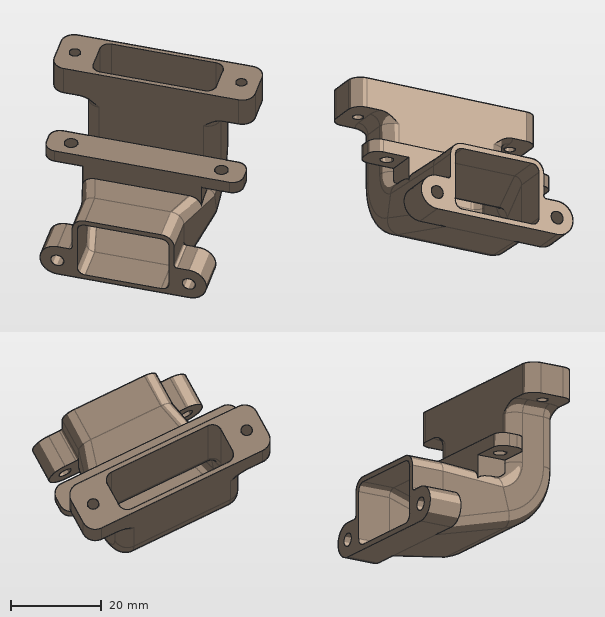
import cadquery as cq
import math

LENGTH_X = 46.0
LENGTH_Y = 35.2
HEIGHT = 39.3
FLANGE_THICKNESS = 7.1
FLANGE_CORNER = 3.0
FLANGE_HOLE_DIAMETER = 2.5
FLANGE_HOLE_PITCH = 38.1
FLANGE_FILLET = 2.4

DUCT_WIDTH = 30.18
DUCT_DEPTH = 11.75
DUCT_CORNER = 3.15
DUCT_WALL = 1.0
BEND_START_Z = 18.25
BEND_ANGLE = 75.0
BEND_OUTER_RADIUS = 15.4

OUTLET_WIDTH = 23.35
OUTLET_HEIGHT = 16.95
OUTLET_DEPTH = 8.0
OUTLET_CORNER = 3.0
OUTLET_WALL = 1.2
LUG_RADIUS = 4.0
LUG_HOLE_DIAMETER = 3.0
LUG_HOLE_PITCH = 30.1
LUG_FILLET = 0.7

PLATE_LENGTH = 45.15
PLATE_WIDTH = 7.1
PLATE_THICKNESS = 3.0
PLATE_TOP_Z = 21.57
PLATE_CENTER_Y = 19.35
PLATE_CORNER = 2.58
PLATE_HOLE_DIAMETER = 3.0
PLATE_HOLE_PITCH = 34.4
BLOCK_WIDTH = 27.25
BLOCK_HEIGHT = 6.0

DUCT_CENTER_Y = LENGTH_Y - DUCT_DEPTH / 2
FLANGE_BOTTOM_Z = HEIGHT - FLANGE_THICKNESS
BEND_AXIS_Y = LENGTH_Y - BEND_OUTER_RADIUS
BEND_CENTER_RADIUS = BEND_OUTER_RADIUS - DUCT_DEPTH / 2
OUTLET_CENTER_Z = OUTLET_HEIGHT / 2
PLATE_BOTTOM_Z = PLATE_TOP_Z - PLATE_THICKNESS

SLAB_MARGIN = 2 * FLANGE_FILLET
PICK_MARGIN = 0.45


def rounded_rectangle(width, height, corner):
    return cq.Sketch().rect(width, height).vertices().fillet(corner)


def hole_pair(plane, pitch, diameter, depth):
    """Two cylinders, spaced along X about the plane origin."""
    half = pitch / 2
    return cq.Workplane(plane).pushPoints([(-half, 0), (half, 0)]).circle(diameter / 2).extrude(depth)


def duct_section(inset):
    return rounded_rectangle(DUCT_WIDTH - 2 * inset, DUCT_DEPTH - 2 * inset, DUCT_CORNER - inset)


def upright(inset):
    """Straight vertical run from the start of the bend to the top face."""
    base = cq.Workplane("XY", origin=(0, DUCT_CENTER_Y, BEND_START_Z))
    return base.placeSketch(duct_section(inset)).extrude(HEIGHT - BEND_START_Z)


def bend(inset):
    """Duct section turned about an X-parallel axis in front of the upright."""
    base = cq.Workplane("XY", origin=(0, DUCT_CENTER_Y, BEND_START_Z))
    axis_offset = BEND_AXIS_Y - DUCT_CENTER_Y
    return base.placeSketch(duct_section(inset)).revolve(
        BEND_ANGLE, (0.45, axis_offset, 0), (0, axis_offset, 0)
    )


def outlet_section(inset):
    return rounded_rectangle(OUTLET_WIDTH - 2 * inset, OUTLET_HEIGHT - 2 * inset, OUTLET_CORNER - inset)


def transition(duct_inset, outlet_inset):
    """Tapered run from the end of the bend to the back of the outlet."""
    angle = math.radians(BEND_ANGLE)
    bend_end = cq.Plane(
        origin=(
            0,
            BEND_AXIS_Y + BEND_CENTER_RADIUS * math.cos(angle),
            BEND_START_Z - BEND_CENTER_RADIUS * math.sin(angle),
        ),
        xDir=(1, 0, 0),
        normal=(0, math.sin(angle), math.cos(angle)),
    )
    outlet_back = cq.Plane(origin=(0, OUTLET_DEPTH, OUTLET_CENTER_Z), xDir=(1, 0, 0), normal=(0, 1, 0))
    bend_end_to_outlet = bend_end.location.inverse * outlet_back.location
    return (
        cq.Workplane(bend_end)
        .placeSketch(duct_section(duct_inset), outlet_section(outlet_inset).moved(bend_end_to_outlet))
        .loft(ruled=True)
    )


def outlet_box(inset):
    """Straight run from the outlet face back to the transition."""
    base = cq.Workplane("XZ", origin=(0, OUTLET_DEPTH, OUTLET_CENTER_Z))
    return base.placeSketch(outlet_section(inset)).extrude(OUTLET_DEPTH)


def passage(duct_inset, outlet_inset):
    """Whole air path as a solid: upright, bend, transition and outlet."""
    return (
        upright(duct_inset)
        .union(bend(duct_inset))
        .union(transition(duct_inset, outlet_inset))
        .union(outlet_box(outlet_inset))
    )


def flange():
    """Upper flange, blended into the narrow sides of the upright."""
    slab = (
        cq.Workplane("XY", origin=(0, DUCT_CENTER_Y, FLANGE_BOTTOM_Z))
        .rect(LENGTH_X + 2 * SLAB_MARGIN, DUCT_DEPTH + 2 * SLAB_MARGIN)
        .extrude(FLANGE_THICKNESS)
    )
    around_joint = cq.selectors.BoxSelector(
        (-DUCT_WIDTH / 2 - PICK_MARGIN, LENGTH_Y - DUCT_DEPTH - PICK_MARGIN, FLANGE_BOTTOM_Z - PICK_MARGIN),
        (DUCT_WIDTH / 2 + PICK_MARGIN, LENGTH_Y + PICK_MARGIN, FLANGE_BOTTOM_Z + PICK_MARGIN),
    )
    blended = slab.union(upright(0)).edges(around_joint).fillet(FLANGE_FILLET)
    outline = (
        cq.Workplane("XY", origin=(0, DUCT_CENTER_Y, BEND_START_Z))
        .placeSketch(rounded_rectangle(LENGTH_X, DUCT_DEPTH, FLANGE_CORNER))
        .extrude(HEIGHT - BEND_START_Z)
    )
    return blended.intersect(outline)


def outlet():
    """Outlet block with a round lug at the bottom of each side."""
    base = cq.Workplane("XZ", origin=(0, OUTLET_DEPTH, LUG_RADIUS))
    lug_bar = base.slot2D(LUG_HOLE_PITCH + 2 * LUG_RADIUS, 2 * LUG_RADIUS).extrude(OUTLET_DEPTH)
    block = outlet_box(0).union(lug_bar)
    for side in (-1, 1):
        inner_corner = (side * OUTLET_WIDTH / 2, OUTLET_DEPTH / 2, 2 * LUG_RADIUS)
        block = block.edges(cq.selectors.NearestToPointSelector(inner_corner)).fillet(LUG_FILLET)
    return block


def cross_plate():
    """Mounting plate across the transition, with its supporting block."""
    base = cq.Workplane("XY", origin=(0, PLATE_CENTER_Y, PLATE_BOTTOM_Z))
    outline = rounded_rectangle(PLATE_LENGTH, PLATE_WIDTH, PLATE_CORNER)
    plate = base.placeSketch(outline).extrude(PLATE_THICKNESS)
    block = base.rect(BLOCK_WIDTH, PLATE_WIDTH).extrude(-BLOCK_HEIGHT)
    return plate.union(block)


flange_holes = hole_pair(
    cq.Plane(origin=(0, DUCT_CENTER_Y, HEIGHT), normal=(0, 0, -1)),
    FLANGE_HOLE_PITCH,
    FLANGE_HOLE_DIAMETER,
    FLANGE_THICKNESS,
)
plate_holes = hole_pair(
    cq.Plane(origin=(0, PLATE_CENTER_Y, PLATE_TOP_Z), normal=(0, 0, -1)),
    PLATE_HOLE_PITCH,
    PLATE_HOLE_DIAMETER,
    PLATE_THICKNESS,
)
lug_holes = hole_pair(
    cq.Plane(origin=(0, 0, LUG_RADIUS), xDir=(1, 0, 0), normal=(0, 1, 0)),
    LUG_HOLE_PITCH,
    LUG_HOLE_DIAMETER,
    OUTLET_DEPTH,
)

result = (
    passage(0, 0)
    .union(flange())
    .union(outlet())
    .union(cross_plate())
    .cut(passage(DUCT_WALL, OUTLET_WALL))
    .cut(flange_holes)
    .cut(plate_holes)
    .cut(lug_holes)
)